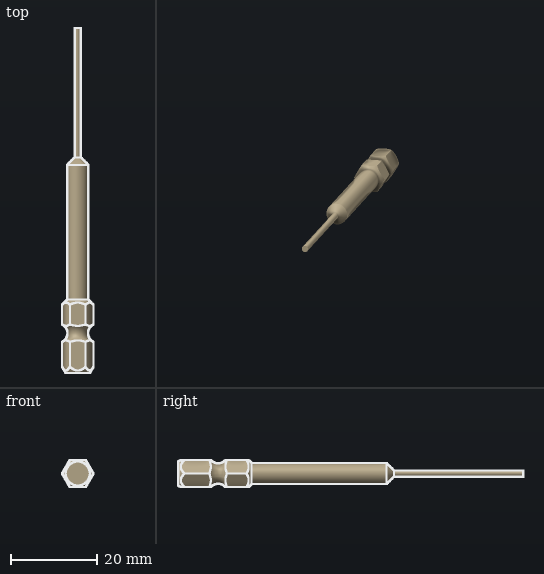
import cadquery as cq
import math

total_length = 80.0
rear_y = -total_length / 2
tip_y = total_length / 2

hex_across_flats = 6.3
hex_across_corners = hex_across_flats / math.cos(math.radians(30))
hex_corner_radius = hex_across_corners / 2
end_face_radius = 2.8
end_chamfer_angle = 30.0

groove_center_offset = 9.3
groove_root_radius = 2.4
groove_arc_radius = 2.2

shank_radius = 2.5
shank_start_offset = 17.0
needle_radius = 0.75
needle_length = 30.0

end_chamfer_length = (hex_corner_radius - end_face_radius) / math.tan(math.radians(end_chamfer_angle))
chamfer_end_y = rear_y + end_chamfer_length
shank_start_y = rear_y + shank_start_offset
collar_start_y = shank_start_y - (hex_corner_radius - shank_radius)
needle_start_y = tip_y - needle_length
cone_start_y = needle_start_y - (shank_radius - needle_radius)

groove_center_y = rear_y + groove_center_offset
groove_arc_center_radius = groove_root_radius + groove_arc_radius
groove_half_width = math.sqrt(groove_arc_radius**2 - (groove_arc_center_radius - hex_corner_radius) ** 2)


def turned_body():
    """Solid of revolution about Y; its widest stretches touch the hexagon corners."""
    return (
        cq.Workplane("XY")
        .moveTo(0, rear_y)
        .lineTo(end_face_radius, rear_y)
        .lineTo(hex_corner_radius, chamfer_end_y)
        .lineTo(hex_corner_radius, groove_center_y - groove_half_width)
        .threePointArc(
            (groove_root_radius, groove_center_y),
            (hex_corner_radius, groove_center_y + groove_half_width),
        )
        .lineTo(hex_corner_radius, collar_start_y)
        .lineTo(shank_radius, shank_start_y)
        .lineTo(shank_radius, cone_start_y)
        .lineTo(needle_radius, needle_start_y)
        .lineTo(needle_radius, tip_y)
        .lineTo(0, tip_y)
        .close()
        .revolve(360, (0, 0), (0, 1))
    )


def hexagonal_bar():
    """Full-length hexagonal bar with corners on +X and -X."""
    return (
        cq.Workplane("XZ", origin=(0, tip_y, 0))
        .polygon(6, hex_across_corners)
        .extrude(total_length)
    )


result = turned_body().intersect(hexagonal_bar())